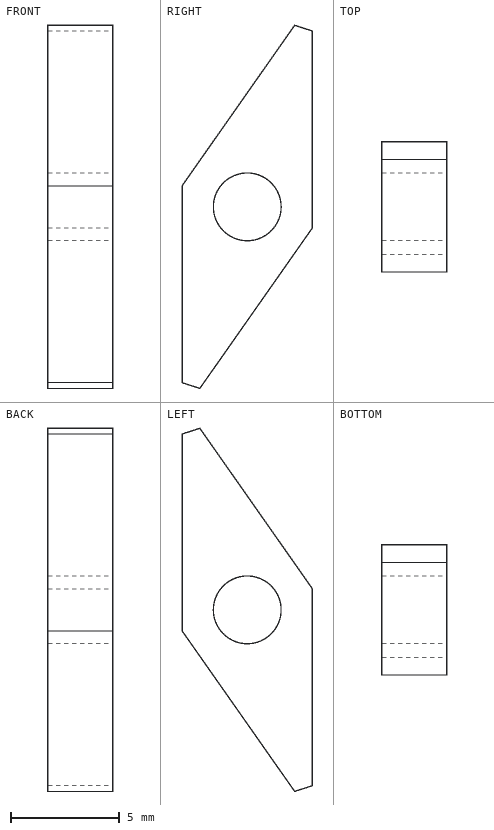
import cadquery as cq

thickness = 3.0
width = 6.0
height = 16.72

tip_run = 0.82
tip_drop = 0.27
obtuse_height = 0.97
hole_diameter = 3.11

half_width = width / 2
half_height = height / 2

half_outline = [
    (half_width, half_height - tip_drop),
    (half_width - tip_run, half_height),
    (-half_width, obtuse_height),
]
outline = half_outline + [(-y, -z) for y, z in half_outline]

face = cq.Workplane("YZ", origin=(-thickness / 2, 0, 0))
plate = face.polyline(outline).close().extrude(thickness)

hole = face.circle(hole_diameter / 2).extrude(thickness)

result = plate.cut(hole)